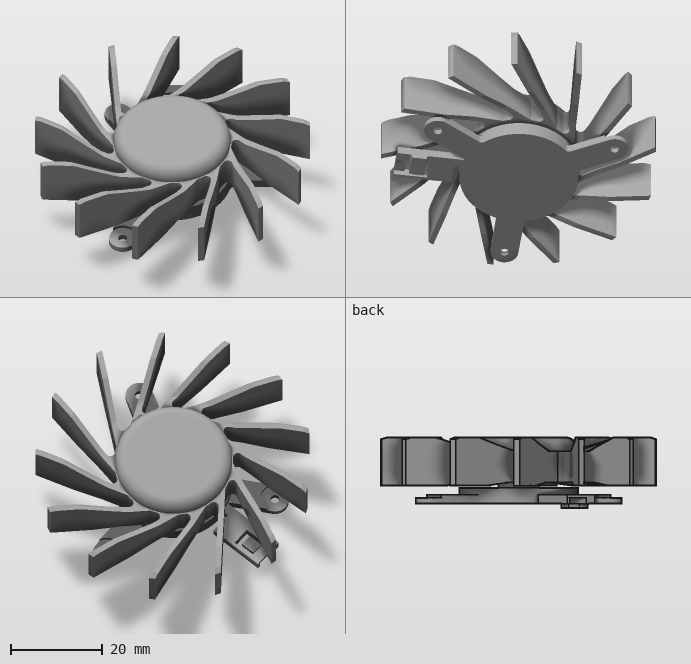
import cadquery as cq
import math

boss_radius = 13.0
boss_height = 3.5
shaft_radius = 4.5
ear_angles = [30, 150, 270]
ear_reach = 22.5
ear_radius = 3.0
ear_height = 2.0
ear_seat_height = 1.25
ear_seat_radius = 3.2
ear_hole_radius = 0.95
root_radius = 1.0

arm_angle = 120
arm_end = 27.2
arm_half_width = 3.5
arm_start = 14.5
arm_neck_side = 1.3
window_start = 19.9
window_end = 24.85
window_side = 2.8
slot_height = 1.25
latch_start = 20.8
latch_end = 24.1
latch_side = 1.25
latch_thickness = 0.95
latch_fillet = 0.5

fan_radius = 30.2
blade_count = 13
first_blade_angle = 178.8
blade_inner_offset = 10.3
blade_thickness = 1.25
blade_bottom = 4.0
blade_top = 14.5
blade_root_radius = 1.0
hub_radius = 13.0
hub_bottom = 4.7
hub_top = 11.5
cap_radius = 12.75
cap_round = 2.5
cap_seam_height = 12.95
rise_start = 15.85
rise_end = 24.15
tip_slope_start = 28.9
tip_drop = 0.4
dip_start = 16.85
dip_end = 22.0
rise_blend = 2.0
tip_blend = 1.0


def box_between(x0, x1, y0, y1, z0, z1):
    """A box given by its limits along each axis."""
    return cq.Workplane("XY").box(x1 - x0, y1 - y0, z1 - z0, centered=False).translate((x0, y0, z0))


def ear():
    """A mounting ear along +X, blended into the boss, with a lowered round seat and a screw hole."""
    blend_center_y = ear_radius + root_radius
    blend_center_x = math.sqrt((boss_radius + root_radius) ** 2 - blend_center_y**2)
    on_boss = boss_radius / (boss_radius + root_radius)
    boss_x = blend_center_x * on_boss
    boss_y = blend_center_y * on_boss
    mid_angle = (math.atan2(-blend_center_y, -blend_center_x) - math.pi / 2) / 2
    mid_x = blend_center_x + root_radius * math.cos(mid_angle)
    mid_y = blend_center_y + root_radius * math.sin(mid_angle)
    body = (
        cq.Workplane("XY")
        .lineTo(boss_x, -boss_y)
        .threePointArc((mid_x, -mid_y), (blend_center_x, -ear_radius))
        .lineTo(ear_reach, -ear_radius)
        .threePointArc((ear_reach + ear_radius, 0), (ear_reach, ear_radius))
        .lineTo(blend_center_x, ear_radius)
        .threePointArc((mid_x, mid_y), (boss_x, boss_y))
        .close()
        .extrude(ear_height)
    )
    seat = (
        cq.Workplane("XY", origin=(ear_reach, 0, ear_seat_height))
        .circle(ear_seat_radius)
        .extrude(ear_height)
    )
    hole = cq.Workplane("XY", origin=(ear_reach, 0, 0)).circle(ear_hole_radius).extrude(ear_height)
    return body.cut(seat).cut(hole)


def latch_arm():
    """The arm along +X: a neck, a window, a slot under its end wall and a latch hung at its left rail."""
    rail_side = arm_neck_side
    arm = box_between(arm_start, arm_end, -arm_half_width, arm_half_width, 0, ear_height)
    neck = box_between(0, arm_start, rail_side, arm_half_width, 0, ear_height)
    window = box_between(window_start, window_end, -window_side, rail_side, 0, ear_height)
    slot = box_between(window_end, arm_end, -window_side, rail_side, 0, slot_height)
    latch = box_between(latch_start, latch_end, -latch_side, arm_half_width, -latch_thickness, 0)
    arm = arm.union(neck).cut(window).cut(slot).union(latch)
    latch_joint = cq.selectors.BoxSelector(
        (latch_start - 0.05, rail_side - 0.05, -0.05),
        (latch_end + 0.05, arm_half_width + 0.05, 0.05),
    )
    return arm.edges("|Y").edges(latch_joint).fillet(latch_fillet)


def base_body():
    base = cq.Workplane("XY").circle(boss_radius).extrude(boss_height)
    base = base.union(cq.Workplane("XY").circle(shaft_radius).extrude(hub_bottom))
    for angle in ear_angles:
        base = base.union(ear().rotate((0, 0, 0), (0, 0, 1), angle))
    return base.union(latch_arm().rotate((0, 0, 0), (0, 0, 1), arm_angle))


def blade():
    """A full-height blade along +X, set off to +Y, with its root rounded into the hub."""
    outer_offset = blade_inner_offset + blade_thickness
    center_y = blade_inner_offset - blade_root_radius
    center_distance = hub_radius + blade_root_radius
    center_x = math.sqrt(center_distance**2 - center_y**2)
    on_hub = hub_radius / center_distance
    mid_angle = (math.atan2(-center_y, -center_x) + 2 * math.pi + math.pi / 2) / 2
    mid = (
        center_x + blade_root_radius * math.cos(mid_angle),
        center_y + blade_root_radius * math.sin(mid_angle),
    )
    return (
        cq.Workplane("XY", origin=(0, 0, blade_bottom))
        .moveTo(0, outer_offset)
        .lineTo(0, 0)
        .lineTo(center_x * on_hub, center_y * on_hub)
        .threePointArc(mid, (center_x, blade_inner_offset))
        .lineTo(fan_radius, blade_inner_offset)
        .lineTo(fan_radius, outer_offset)
        .close()
        .extrude(blade_top - blade_bottom)
    )


def blade_envelope():
    """The turned shape that trims the blades: low at the hub, full height outside, eased at the tips."""
    envelope = (
        cq.Workplane("XZ")
        .moveTo(0, hub_bottom)
        .lineTo(dip_start, hub_bottom)
        .lineTo(dip_end, blade_bottom)
        .lineTo(fan_radius, blade_bottom)
        .lineTo(fan_radius, blade_top - tip_drop)
        .lineTo(tip_slope_start, blade_top)
        .lineTo(rise_end, blade_top)
        .lineTo(rise_start, hub_top)
        .lineTo(0, hub_top)
        .close()
        .revolve(360, (0, 0, 0), (0, 1, 0))
    )

    def rim(radius):
        return envelope.edges("%CIRCLE").filter(lambda edge: abs(edge.radius() - radius) < 0.005)

    for radius, blend in ((rise_start, rise_blend), (rise_end, rise_blend), (tip_slope_start, tip_blend)):
        envelope = rim(radius).fillet(blend)
    return envelope


def cap():
    """The domed cap: a cylinder with a round rim whose surface is divided at one height."""
    flat_radius = cap_radius - cap_round
    round_center = blade_top - cap_round

    def on_round(angle):
        return (flat_radius + cap_round * math.cos(angle), round_center + cap_round * math.sin(angle))

    seam = math.asin((cap_seam_height - round_center) / cap_round)
    return (
        cq.Workplane("XZ")
        .moveTo(0, hub_top)
        .lineTo(cap_radius, hub_top)
        .lineTo(cap_radius, round_center)
        .threePointArc(on_round(seam / 2), on_round(seam))
        .threePointArc(on_round((seam + math.pi / 2) / 2), (flat_radius, blade_top))
        .lineTo(0, blade_top)
        .close()
        .revolve(360, (0, 0, 0), (0, 1, 0))
    )


def fan_body():
    wheel = cq.Workplane("XY", origin=(0, 0, hub_bottom)).circle(hub_radius).extrude(hub_top - hub_bottom)
    envelope = blade_envelope()
    for index in range(blade_count):
        angle = first_blade_angle + index * 360 / blade_count
        wheel = wheel.union(blade().rotate((0, 0, 0), (0, 0, 1), angle).intersect(envelope))
    return wheel.union(cap(), clean=False)


base = base_body()
fan = fan_body()
result = cq.Compound.makeCompound([base.val(), fan.val()])